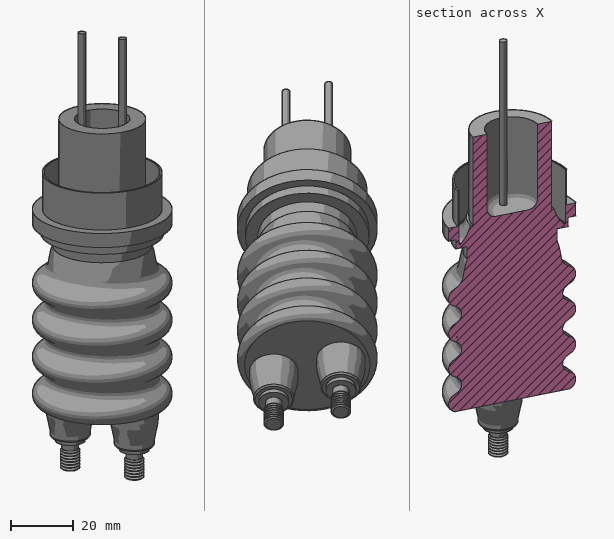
import cadquery as cq
import math

body_bottom = 24.1
rib_radius = 22.26
rib_round = 3.3
rib_count = 4
rib_pitch = 12.5
lowest_rib_height = 27.3
flank_angle = math.radians(60)
valley_radius = 17.7
neck_radius = 15.8
neck_height = 77.6
neck_flare = (17.3, 71.5)
tube_radius = 13.8
tube_top = 120.6

bore_radius = 8.8
bore_depth = 29.8
bore_floor_round = 3.1

sleeve_outer = 19.0
sleeve_inner = 18.5
sleeve_top = 102.5
flange_top = 90.0
flange_bottom = 85.2
lip_radius = 19.7
lip_bottom = 81.9

gap_shoulder = (14.6, 89.3)
gap_neck = (neck_radius, 86.4)
gap_flare = (17.0, 84.6)
gap_foot = (18.0, 83.4)

pin_radius = 1.27
pin_offset = 7.0
pin_top = 148.9

terminal_offset = 11.0
boot_radius = 7.7
boot_shoulder_height = 21.0
boot_taper_radius = 7.6
boot_taper_height = 19.0
boot_end_radius = 6.4
boot_end_height = 13.3
boot_chamfer_height = 11.9
boot_bottom_radius = 6.0
boot_bottom = 11.3
washer_radius = 4.8
washer_bottom = 9.8
shank_radius = 2.7
thread_radius = 3.1
thread_root = 2.5
thread_pitch = 0.98
thread_count = 7
thread_top = 7.1
tip_radius = 1.3


def turned(outline):
    """Revolve a closed outline drawn as (radius, height) about the Z axis."""
    return outline.close().revolve(360, (0, 0, 0), (0, 1, 0))


def insulator():
    """Ribbed body with a waisted neck and a plain tube above it."""
    rib_centre = rib_radius - rib_round
    flank_rise = math.cos(flank_angle)
    flank_inset = math.sin(flank_angle)
    rib_end_radius = rib_centre + rib_round * flank_rise
    rib_end_rise = rib_round * flank_inset
    half_pitch = rib_pitch / 2
    drop = rib_end_radius - valley_radius
    rise = half_pitch - rib_end_rise
    valley_round = (rise * flank_inset - drop * flank_rise) / (1 - flank_rise)
    valley_end_radius = valley_radius + valley_round * (1 - flank_rise)
    valley_end_rise = half_pitch - valley_round * flank_inset
    cut_drop = lowest_rib_height - body_bottom
    cut_radius = rib_centre + math.sqrt(rib_round**2 - cut_drop**2)

    outline = cq.Workplane("XZ").moveTo(0, body_bottom).lineTo(cut_radius, body_bottom)
    for i in range(rib_count):
        height = lowest_rib_height + i * rib_pitch
        outline = outline.threePointArc((rib_radius, height), (rib_end_radius, height + rib_end_rise))
        outline = outline.lineTo(valley_end_radius, height + valley_end_rise)
        if i < rib_count - 1:
            next_rib = height + rib_pitch
            valley = (valley_radius, height + half_pitch)
            outline = outline.threePointArc(valley, (valley_end_radius, next_rib - valley_end_rise))
            outline = outline.lineTo(rib_end_radius, next_rib - rib_end_rise)
    outline = outline.tangentArcPoint(neck_flare, relative=False)
    outline = outline.tangentArcPoint((neck_radius, neck_height), relative=False)
    for point in (gap_neck, gap_shoulder, (tube_radius, gap_shoulder[1])):
        outline = outline.lineTo(*point)
    return turned(outline.lineTo(tube_radius, tube_top).lineTo(0, tube_top))


def collar():
    """Thin sleeve with flange and lip, joined to the neck by the flared floor of the gap."""
    outline = cq.Workplane("XZ").polyline(
        [
            (tube_radius, lip_bottom),
            (lip_radius, lip_bottom),
            (lip_radius, flange_bottom),
            (rib_radius, flange_bottom),
            (rib_radius, flange_top),
            (sleeve_outer, flange_top),
            (sleeve_outer, sleeve_top),
            (sleeve_inner, sleeve_top),
            (sleeve_inner, gap_foot[1]),
            gap_foot,
            gap_flare,
            gap_neck,
            (tube_radius, gap_neck[1]),
        ]
    )
    return turned(outline)


def bore():
    """Blind bore with a rounded floor edge."""
    floor = cq.Workplane("XY").workplane(offset=tube_top - bore_depth)
    cutter = floor.circle(bore_radius).extrude(bore_depth)
    return cutter.faces("<Z").edges().fillet(bore_floor_round)


def pin():
    """Contact pin on the Z axis, sunk into the body below the bore floor."""
    foot = tube_top - bore_depth - bore_floor_round
    return cq.Workplane("XY").workplane(offset=foot).circle(pin_radius).extrude(pin_top - foot)


def terminal():
    """Tapered boot, washer and threaded stud on the Z axis."""
    outline = cq.Workplane("XZ").polyline(
        [
            (0, lowest_rib_height),
            (boot_radius, lowest_rib_height),
            (boot_radius, boot_shoulder_height),
            (boot_taper_radius, boot_taper_height),
            (boot_end_radius, boot_end_height),
            (boot_end_radius, boot_chamfer_height),
            (boot_bottom_radius, boot_bottom),
            (washer_radius, boot_bottom),
            (washer_radius, washer_bottom),
            (shank_radius, washer_bottom),
            (shank_radius, thread_top),
        ]
    )
    for i in range(thread_count):
        start = thread_top - i * thread_pitch
        outline = outline.lineTo(thread_root, start)
        outline = outline.lineTo(thread_radius, start - thread_pitch / 2)
    outline = outline.lineTo(thread_root, thread_top - thread_count * thread_pitch)
    return turned(outline.lineTo(tip_radius, 0).lineTo(0, 0))


result = insulator().union(collar()).cut(bore())
for side in (-1, 1):
    result = result.union(pin().translate((side * pin_offset, 0, 0)))
    result = result.union(terminal().translate((side * terminal_offset, 0, 0)))